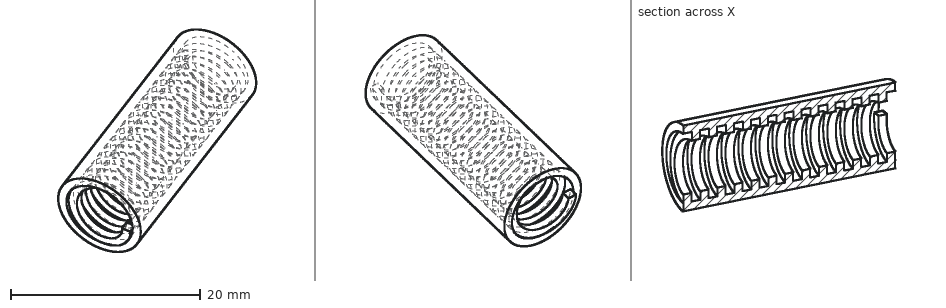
import cadquery as cq

outer_diameter = 10.0
bore_diameter = 8.0
total_length = 26.0

rib_inner_diameter = 6.0
rib_width = (bore_diameter - rib_inner_diameter) / 2
turns = 12.5
wall_overlap = 0.4

sleeve_length = total_length - rib_width
pitch = sleeve_length / turns


def tube(outer, inner, length, start):
    """Tube along Z beginning at height start."""
    return (
        cq.Workplane("XY")
        .workplane(offset=start)
        .circle(outer / 2)
        .circle(inner / 2)
        .extrude(length)
    )


def coil_rib():
    """Square section swept along a helix that starts on +X at height zero."""
    inner_radius = rib_inner_diameter / 2
    section_depth = rib_width + wall_overlap
    path = cq.Wire.makeHelix(pitch, sleeve_length, bore_diameter / 2)
    return (
        cq.Workplane("XZ")
        .center(inner_radius + section_depth / 2, 0)
        .rect(section_depth, rib_width)
        .sweep(cq.Workplane(obj=path), isFrenet=True)
    )


blank_length = sleeve_length + 2 * rib_width
part = tube(outer_diameter, bore_diameter, blank_length, -rib_width).union(coil_rib())

trim_diameter = outer_diameter + 2 * rib_width
for trim_start in (-2 * rib_width, sleeve_length):
    part = part.cut(tube(trim_diameter, bore_diameter, 2 * rib_width, trim_start))

result = part.translate((0, 0, -sleeve_length / 2)).rotate((0, 0, 0), (1, 0, 0), -90)